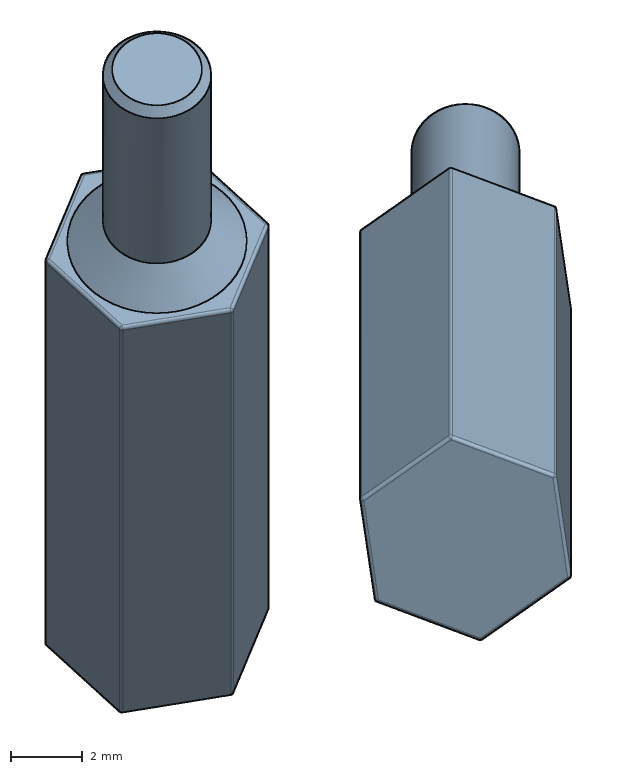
import cadquery as cq
import math

total_height = 26.0
body_height = 18.0
across_flats = 5.5
edge_round = 0.1
collar_diameter = 5.0
stud_diameter = 3.02
tip_chamfer = 0.25

collar_height = (collar_diameter - stud_diameter) / 2


def hex_body():
    """Upright hexagonal prism with corners on the X axis and every edge rounded."""
    across_corners = across_flats / math.cos(math.radians(30))
    prism = cq.Workplane("XY").polygon(6, across_corners).extrude(body_height)
    return prism.edges().fillet(edge_round)


def collar_and_stud():
    """Conical collar and chamfered stud, revolved about the Z axis."""
    stud_radius = stud_diameter / 2
    root_height = body_height - collar_height
    profile = (
        cq.Workplane("XZ")
        .moveTo(0, root_height)
        .lineTo(stud_radius, root_height)
        .lineTo(stud_radius, body_height)
        .lineTo(collar_diameter / 2, body_height)
        .lineTo(stud_radius, body_height + collar_height)
        .lineTo(stud_radius, total_height - tip_chamfer)
        .lineTo(stud_radius - tip_chamfer, total_height)
        .lineTo(0, total_height)
        .close()
    )
    return profile.revolve(360, (0, 0, 0), (0, 1, 0))


result = hex_body().union(collar_and_stud())